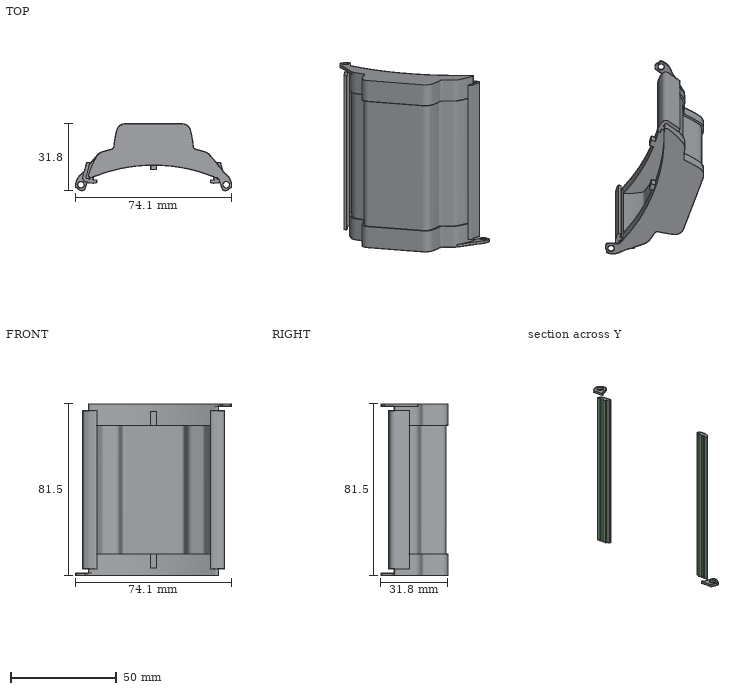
import cadquery as cq
import math

HEIGHT = 81.5
END_HEIGHT = 10.25
RAIL_HEIGHT = 75.0
TAB_THICKNESS = 1.25
BACK_Y = 19.65
FRONT_RADIUS = 76.0

BACK_CORNER = (16.55, BACK_Y)
NECK_MIDDLE = (18.3, 13.0)
NECK_CORNER = (18.95, 7.85)
SHOULDER_CORNER = (25.7, 6.0)
SIDE_MIDDLE = (29.2, -0.1)
SIDE_END = (31.75, -8.5)

BACK_RADIUS = 4.2
NECK_RADIUS = 1.3
SHOULDER_RADIUS = 4.7
FRONT_CORNER_RADIUS = 1.15

WALL_INSET = 0.9
WALL_THICKNESS = 2.0

PIN_WIDTH = 2.8
PIN_FRONT_Y = -2.1
PIN_ROOT_Y = 1.0
PIN_END_GAP = 3.6

HOLE_CENTER = (34.45, -9.3)
HOLE_DIAMETER = 3.0

RAIL_BOTTOM = (HEIGHT - RAIL_HEIGHT) / 2
WALL_HEIGHT = HEIGHT - 2 * END_HEIGHT


def front_y(x):
    """Y of the concave front face at a given X."""
    return math.sqrt(FRONT_RADIUS**2 - x**2) - FRONT_RADIUS


def mirrored(point):
    return (-point[0], point[1])


def mirror_x(shape):
    return shape.mirror("YZ")


def turned_end_for_end(shape):
    """Half turn about the part's Y-parallel centre line."""
    middle = HEIGHT / 2
    return shape.rotate((0, 0, middle), (0, 1, middle), 180)


def round_upright_edges(body, corner, radius):
    """Round the matching upright edges on both halves at the given +X position."""
    reach = 0.05
    for x, y in (corner, mirrored(corner)):
        box = cq.selectors.BoxSelector((x - reach, y - reach, -1), (x + reach, y + reach, HEIGHT + 1))
        body = body.edges("|Z").edges(box).fillet(radius)
    return body


def body_slice(inset, bottom, height, neck_radius):
    """Slab of the body outline, moved inward by inset and trimmed by the concave front."""
    outline = (
        cq.Workplane("XY", origin=(0, 0, bottom))
        .moveTo(*mirrored(BACK_CORNER))
        .lineTo(*BACK_CORNER)
        .threePointArc(NECK_MIDDLE, NECK_CORNER)
        .lineTo(*SHOULDER_CORNER)
        .threePointArc(SIDE_MIDDLE, SIDE_END)
        .lineTo(*mirrored(SIDE_END))
        .threePointArc(mirrored(SIDE_MIDDLE), mirrored(SHOULDER_CORNER))
        .lineTo(*mirrored(NECK_CORNER))
        .threePointArc(mirrored(NECK_MIDDLE), mirrored(BACK_CORNER))
        .close()
    )
    if inset > 0:
        outline = outline.offset2D(-inset, "intersection")
    slab = outline.extrude(height)
    corners = sorted(
        (v.X, v.Y) for v in slab.faces("<Z").vertices().vals() if v.X > 0 and v.Y > SIDE_MIDDLE[1]
    )
    radii = (BACK_RADIUS - inset, neck_radius, SHOULDER_RADIUS - inset)
    for corner, radius in zip(corners, radii):
        slab = round_upright_edges(slab, corner, radius)
    front = (
        cq.Workplane("XY", origin=(0, -FRONT_RADIUS, bottom))
        .circle(FRONT_RADIUS)
        .extrude(height)
    )
    return slab.cut(front)


def end_block():
    block = body_slice(0, 0, END_HEIGHT, NECK_RADIUS)
    block = block.edges("|Z and (<X or >X)").fillet(FRONT_CORNER_RADIUS)
    pin = cq.Workplane("XY").box(
        PIN_WIDTH, PIN_ROOT_Y - PIN_FRONT_Y, END_HEIGHT - PIN_END_GAP, centered=(True, False, False)
    ).translate((0, PIN_FRONT_Y, PIN_END_GAP))
    return block.union(pin)


def middle_wall():
    wall = body_slice(WALL_INSET, END_HEIGHT, WALL_HEIGHT, NECK_RADIUS)
    cavity = body_slice(
        WALL_INSET + WALL_THICKNESS, END_HEIGHT, WALL_HEIGHT, NECK_RADIUS + WALL_THICKNESS
    )
    return wall.cut(cavity)


def edge_rail():
    """Hooked rail of constant section along the +X front edge."""
    root_outer_x = 30.3
    root_inner_x = 28.5
    root_overlap = 0.1
    root_y = front_y(root_inner_x) + root_overlap
    return (
        cq.Workplane("XY", origin=(0, 0, RAIL_BOTTOM))
        .moveTo(root_inner_x, root_y)
        .lineTo(root_inner_x, -6.3)
        .lineTo(28.8, -6.95)
        .lineTo(26.93, -6.95)
        .lineTo(26.93, -8.2)
        .lineTo(27.6, -8.5)
        .lineTo(28.46, -8.6)
        .lineTo(30.7, -8.45)
        .lineTo(32.1, -7.95)
        .threePointArc((33.35, -6.95), (33.6, -5.55))
        .lineTo(31.85, 0.9)
        .threePointArc((31.7, 1.17), (31.4, 1.28))
        .lineTo(30.25, 1.28)
        .lineTo(30.35, 0.4)
        .lineTo(32.1, -5.75)
        .threePointArc((31.95, -6.15), (31.4, -6.3))
        .lineTo(root_outer_x, -6.6)
        .lineTo(root_outer_x, root_y)
        .close()
        .extrude(RAIL_HEIGHT)
    )


def fastening_tab():
    """Flat ear with a hole, on the top face at the +X side."""
    root_x = 28.5
    tab = (
        cq.Workplane("XY", origin=(0, 0, HEIGHT - TAB_THICKNESS))
        .moveTo(26.2, 5.45)
        .lineTo(30.2, 0.65)
        .lineTo(33.0, -3.0)
        .lineTo(35.0, -4.9)
        .threePointArc((36.5, -7.2), (37.04, -9.5))
        .lineTo(37.04, -10.55)
        .lineTo(36.5, -10.65)
        .lineTo(35.0, -11.9)
        .threePointArc((33.7, -12.13), (32.6, -11.6))
        .lineTo(31.3, -7.7)
        .threePointArc((30.85, -6.65), (30.0, -6.15))
        .lineTo(root_x, front_y(root_x))
        .close()
        .extrude(TAB_THICKNESS)
    )
    hole = (
        cq.Workplane("XY", origin=(0, 0, HEIGHT - TAB_THICKNESS))
        .center(*HOLE_CENTER)
        .circle(HOLE_DIAMETER / 2)
        .extrude(TAB_THICKNESS)
    )
    return tab.cut(hole)


bottom_block = end_block()
rail = edge_rail()
tab = fastening_tab()

result = (
    middle_wall()
    .union(bottom_block)
    .union(turned_end_for_end(bottom_block))
    .union(rail)
    .union(mirror_x(rail))
    .union(tab)
    .union(turned_end_for_end(tab))
)